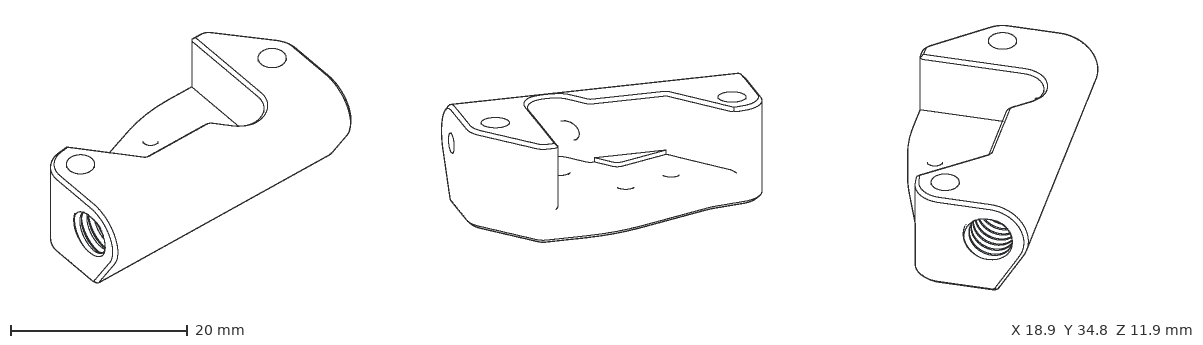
import cadquery as cq
import math

length = 34.8
width = 18.93
height = 11.9
edge_chamfer = 0.42
mouth_fillet = 0.42
low_jamb_fillet = 0.8

spine_radius = 4.4
spine_x = width - spine_radius
spine_z = height - spine_radius
spine_slope = 30.0
slope_foot_chamfer = 0.25

mount_diameter = 3.2
corner_radius = 3.4
mount_x = 8.53
mount_ys = (corner_radius, length - corner_radius)

shoulder_angle = 41.0
shoulder_fillet = 1.45
flank_top_y = 23.07
flank_angle = 20.0
flank_radius = 20.0
heel_angle = 8.2
heel_fillet = 5.57

floor_z = 4.4
pocket_top_y = 26.38
pocket_round = 3.0
pocket_round_x = 12.18
pocket_wall_x = 11.97
pocket_corner_y = 10.15
pocket_angle = 40.0
pocket_fillet = 1.0
pocket_corner_fillet = 0.35

step_height = 0.52
step_top_y = 18.62

pin_diameter = 1.7
pin_first = (4.0, 17.33)
pin_spacing = 6.4
pin_rim_fillet = 0.42
recess_center = (11.5, pocket_top_y - pocket_round)
recess_straight = 1.32
recess_radius = 1.88
recess_arc = 0.5
recess_turn = 60.0

bore_diameter = 2.3
bore_mouth_fillet = 0.35
tap_diameter = 5.15
thread_diameter = 6.25
thread_pitch = 1.0
thread_depth = 6.95
thread_half_angle = 30.0
thread_start_angle = 228.0
thread_overlap = 0.05
drill_half_angle = 45.0

over = 1.75
tiny = 0.005


def polar(center, radius, degrees):
    angle = math.radians(degrees)
    return (center[0] + radius * math.cos(angle), center[1] + radius * math.sin(angle))


def tan(degrees):
    return math.tan(math.radians(degrees))


def outline():
    """Plan shape of the part, extruded to full height."""
    low_center = (mount_x, mount_ys[0])
    high_center = (mount_x, mount_ys[1])
    shoulder = polar(high_center, corner_radius, 90 + shoulder_angle)
    shoulder_y = shoulder[1] - shoulder[0] * tan(shoulder_angle)
    flank_center = (flank_radius, flank_top_y)
    flank_mid = polar(flank_center, flank_radius, 180 + flank_angle / 2)
    flank_end = polar(flank_center, flank_radius, 180 + flank_angle)
    heel = polar(low_center, corner_radius, 180 + heel_angle)
    heel_mid = polar(low_center, corner_radius, 225 + heel_angle / 2)
    knee_y = (
        flank_end[0] + flank_end[1] * tan(flank_angle) - heel[0] - heel[1] * tan(heel_angle)
    ) / (tan(flank_angle) - tan(heel_angle))
    knee = (heel[0] + (heel[1] - knee_y) * tan(heel_angle), knee_y)
    solid = (
        cq.Workplane("XY")
        .moveTo(width, 0)
        .lineTo(width, length)
        .lineTo(mount_x, length)
        .threePointArc(polar(high_center, corner_radius, 90 + shoulder_angle / 2), shoulder)
        .lineTo(0, shoulder_y)
        .lineTo(0, flank_top_y)
        .threePointArc(flank_mid, flank_end)
        .lineTo(*knee)
        .lineTo(*heel)
        .threePointArc(heel_mid, (mount_x, 0))
        .close()
        .extrude(height)
    )
    solid = solid.edges(cq.NearestToPointSelector((0, shoulder_y, height / 2))).fillet(shoulder_fillet)
    return solid.edges(cq.NearestToPointSelector((*knee, height / 2))).fillet(heel_fillet)


def spine_profile():
    """Cross-section seen along Y: rounded upper edge and sloped lower edge."""
    center = (spine_x, spine_z)
    slope_top = polar(center, spine_radius, -spine_slope)
    foot_x = slope_top[0] - slope_top[1] * tan(spine_slope)
    solid = (
        cq.Workplane("XZ")
        .moveTo(0, 0)
        .lineTo(foot_x, 0)
        .lineTo(*slope_top)
        .threePointArc(polar(center, spine_radius, 45 - spine_slope / 2), (spine_x, height))
        .lineTo(0, height)
        .close()
        .extrude(-length)
    )
    return solid.edges(cq.NearestToPointSelector((foot_x, length / 2, 0))).chamfer(slope_foot_chamfer)


def pocket():
    """Material removed above the floor."""
    center = (pocket_round_x, pocket_top_y - pocket_round)
    round_end = polar(center, pocket_round, pocket_angle - 90)
    bend_y = round_end[1] - (round_end[0] - pocket_wall_x) * tan(pocket_angle)
    exit_x = -over
    exit_y = pocket_corner_y - (pocket_wall_x - exit_x) * tan(pocket_angle)
    solid = (
        cq.Workplane("XY", origin=(0, 0, floor_z))
        .moveTo(exit_x, pocket_top_y)
        .lineTo(pocket_round_x, pocket_top_y)
        .threePointArc(polar(center, pocket_round, pocket_angle / 2), round_end)
        .lineTo(pocket_wall_x, bend_y)
        .lineTo(pocket_wall_x, pocket_corner_y)
        .lineTo(exit_x, exit_y)
        .close()
        .extrude(height)
    )
    bend = cq.NearestToPointSelector((pocket_wall_x, bend_y, height))
    solid = solid.edges(bend).fillet(pocket_fillet)
    corner = cq.NearestToPointSelector((pocket_wall_x, pocket_corner_y, height))
    return solid.edges(corner).fillet(pocket_corner_fillet)


def is_upright(edge):
    box = edge.BoundingBox()
    return box.xlen < tiny and box.ylen < tiny


def is_mouth(edge):
    """True for the U of edges around the open side of the pocket."""
    box = edge.BoundingBox()
    at_open_side = edge.Center().x < mount_x - corner_radius
    starts_at_floor = floor_z - mouth_fillet - tiny < box.zmin < floor_z + tiny
    return at_open_side and starts_at_floor and (is_upright(edge) or box.zlen < tiny)


def is_low_jamb(edge):
    """True for the upright mouth edge beside the lower mounting hole."""
    return is_mouth(edge) and is_upright(edge) and edge.Center().y < length / 2


def is_rim(edge):
    """True for the edges around the top, the underside and the two end faces."""
    box = edge.BoundingBox()
    center = edge.Center()
    on_end = box.ylen < tiny and min(center.y, length - center.y) < tiny
    spine_seam = box.xlen < tiny and box.zlen < tiny and center.x > spine_x - tiny
    on_top = box.zmax > height - tiny and box.zlen < edge_chamfer
    on_underside = box.zmax < tiny
    return (on_end or on_top or on_underside) and not is_upright(edge) and not spine_seam


def wedge_step():
    """Low triangular step against the straight pocket wall."""
    rise = tan(pocket_angle)
    run = tan(flank_angle)
    reach = (step_top_y - pocket_corner_y) * run / (1 + rise * run)
    tip = (pocket_wall_x - reach, step_top_y - reach * rise)
    root_x = pocket_wall_x + over
    solid = (
        cq.Workplane("XY", origin=(0, 0, floor_z))
        .moveTo(pocket_wall_x, pocket_corner_y)
        .lineTo(*tip)
        .lineTo(pocket_wall_x, step_top_y)
        .lineTo(root_x, step_top_y)
        .lineTo(root_x, pocket_corner_y)
        .close()
        .extrude(step_height)
    )
    return solid.edges(cq.NearestToPointSelector((*tip, floor_z))).fillet(pocket_fillet)


def mount_holes():
    points = [(mount_x, y) for y in mount_ys]
    return cq.Workplane("XY").pushPoints(points).circle(mount_diameter / 2).extrude(height)


def pin_holes():
    """Through holes in the floor with rounded upper rims."""
    radius = pin_diameter / 2
    rim = radius + pin_rim_fillet
    low = floor_z - pin_rim_fillet
    bend = polar((rim, low), pin_rim_fillet, 135)
    pin = (
        cq.Workplane("XZ")
        .lineTo(radius, 0)
        .lineTo(radius, low)
        .threePointArc(bend, (rim, floor_z))
        .lineTo(0, floor_z)
        .close()
        .revolve(360, (0, 0, 0), (0, 1, 0))
    )
    second = polar(pin_first, pin_spacing, flank_angle - 90)
    return pin.translate((*pin_first, 0)).union(pin.translate((*second, 0)))


def recess():
    """Shallow oval dish whose wall is an S of two equal arcs."""
    inset = recess_arc * math.sin(math.radians(recess_turn))
    depth = 2 * recess_arc * (1 - math.cos(math.radians(recess_turn)))
    base_radius = recess_radius - 2 * inset
    middle = (recess_radius - inset, -depth / 2)
    lower = (base_radius, recess_arc - depth)
    upper = (recess_radius, -recess_arc)

    def half_section(plane):
        return (
            cq.Workplane(plane)
            .moveTo(0, -depth)
            .lineTo(base_radius, -depth)
            .threePointArc(polar(lower, recess_arc, recess_turn / 2 - 90), middle)
            .threePointArc(polar(upper, recess_arc, 90 + recess_turn / 2), (recess_radius, 0))
            .lineTo(0, 0)
            .close()
        )

    half = recess_straight / 2
    end = half_section("XZ").revolve(360, (0, 0, 0), (0, 1, 0))
    side = half_section("YZ").extrude(half, both=True)
    dish = end.translate((half, 0, 0)).union(end.translate((-half, 0, 0)))
    dish = dish.union(side).union(side.mirror("XZ"))
    return dish.translate((*recess_center, floor_z))


def along_spine(solid):
    """Turn a solid built along +Z so that it runs along +Y on the bore axis."""
    return solid.rotate((0, 0, 0), (1, 0, 0), -90).translate((spine_x, 0, spine_z))


def bore():
    return along_spine(cq.Workplane("XY").circle(bore_diameter / 2).extrude(length))


def is_bore_mouth(edge):
    """True for the edges where the bore breaks into the pocket."""
    box = edge.BoundingBox()
    reach = bore_diameter / 2 + tiny
    beside_bore = abs(box.zmin - spine_z) < reach and abs(box.zmax - spine_z) < reach
    return beside_bore and box.ymin > tiny and box.ymax < length - tiny and box.xmax > pocket_wall_x


def tap_drill():
    """Blind tapping hole with a conical bottom that leads into the bore."""
    radius = tap_diameter / 2
    cone = radius / tan(drill_half_angle)
    return along_spine(
        cq.Workplane("XZ")
        .lineTo(radius, 0)
        .lineTo(radius, thread_depth)
        .lineTo(0, thread_depth + cone)
        .close()
        .revolve(360, (0, 0, 0), (0, 1, 0))
    )


def thread_groove():
    """Helical groove with 60 degree flanks, starting outside the end face."""
    inner = tap_diameter / 2 - thread_overlap
    outer = thread_diameter / 2
    half_tip = thread_pitch / 16
    half_mouth = half_tip + (outer - inner) * tan(thread_half_angle)
    helix = cq.Wire.makeHelix(thread_pitch, thread_depth + thread_pitch, inner)
    groove = (
        cq.Workplane("XZ")
        .moveTo(inner, -half_mouth)
        .lineTo(outer, -half_tip)
        .lineTo(outer, half_tip)
        .lineTo(inner, half_mouth)
        .close()
        .sweep(cq.Workplane(helix), isFrenet=True)
    )
    groove = groove.translate((0, 0, -thread_pitch)).rotate((0, 0, 0), (0, 0, 1), -thread_start_angle)
    return along_spine(groove)


def edges_where(solid, test):
    """The solid with only the edges that pass the test selected."""
    return solid.newObject([edge for edge in solid.edges().vals() if test(edge)])


body = outline().intersect(spine_profile()).cut(pocket())
body = edges_where(body, is_rim).chamfer(edge_chamfer)
body = edges_where(body, lambda edge: is_mouth(edge) and not is_low_jamb(edge)).fillet(mouth_fillet)
body = edges_where(body, is_low_jamb).fillet(low_jamb_fillet)
body = edges_where(body.cut(bore()), is_bore_mouth).fillet(bore_mouth_fillet)
body = body.union(wedge_step())
body = body.cut(mount_holes()).cut(pin_holes()).cut(recess())
result = body.cut(tap_drill()).cut(thread_groove())